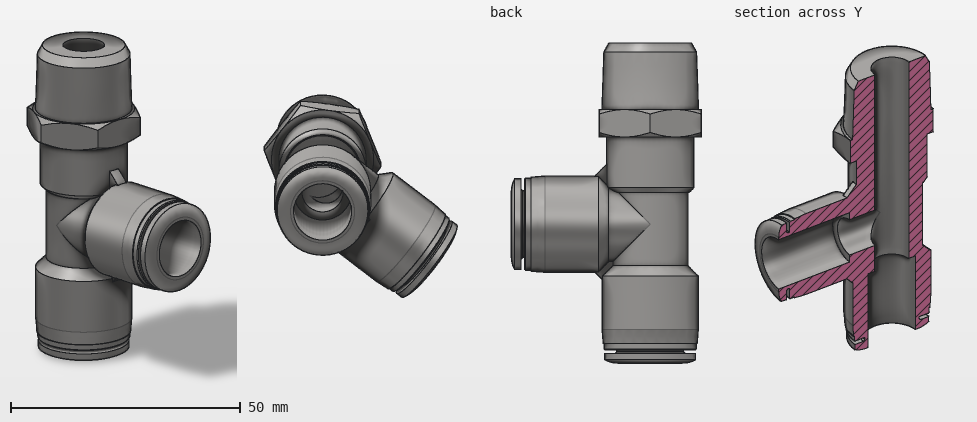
import cadquery as cq
import math

total_height = 69.7
branch_height = 30.25
branch_reach = 30.25

bore_dia = 9.0
tube_dia = 12.6
socket_depth = 18.95

neck_radius = 8.2
sleeve_dia = 21.0
sleeve_radius = sleeve_dia / 2
sleeve_end_radius = 10.25
sleeve_lip_radius = 10.05
groove_dia = 14.6
groove_radius = groove_dia / 2
groove_flare = 0.35
lip_chamfer = 0.2
collet_radius = 9.9
collet_face_radius = 7.0
collet_dome = 0.8
collet_dome_mid_radius = 8.8
collet_dome_mid = 0.3
collet_back = 2.15
sleeve_end = 2.9
lip_start = 4.3
taper_start = 7.3
shoulder_start = 18.95
shoulder_end = shoulder_start + sleeve_radius - neck_radius

collar_dia = 19.0
collar_radius = collar_dia / 2
collar_bottom = 38.2
collar_chamfer = 1.05
hex_bottom = 49.2
hex_top = 55.2
hex_flats = 22.2
hex_chamfer_angle = 30
thread_base_radius = 10.5
thread_tip_radius = 10.1
thread_face_radius = 9.0
thread_chamfer = 2.0

web_thickness = 2.65
web_half_diagonal = 22.5


def tube_end(length):
    """Socket end on Z: open end at 0, neck reaching up to the given length."""
    return (
        cq.Workplane("XZ")
        .lineTo(collet_face_radius, 0)
        .threePointArc((collet_dome_mid_radius, collet_dome_mid), (collet_radius, collet_dome))
        .lineTo(collet_radius, collet_back)
        .lineTo(groove_radius + groove_flare, collet_back)
        .lineTo(groove_radius, collet_back + groove_flare)
        .lineTo(groove_radius, sleeve_end)
        .lineTo(sleeve_lip_radius - lip_chamfer, sleeve_end)
        .lineTo(sleeve_lip_radius, sleeve_end + lip_chamfer)
        .lineTo(sleeve_lip_radius, lip_start)
        .lineTo(sleeve_end_radius, lip_start)
        .lineTo(sleeve_radius, taper_start)
        .lineTo(sleeve_radius, shoulder_start)
        .lineTo(neck_radius, shoulder_end)
        .lineTo(neck_radius, length)
        .lineTo(0, length)
        .close()
        .revolve(360, (0, 0, 0), (0, 1, 0))
    )


def tube_bore(length):
    """Tube socket followed by the narrower flow passage."""
    socket = cq.Workplane("XY").circle(tube_dia / 2).extrude(socket_depth)
    passage = cq.Workplane("XY").circle(bore_dia / 2).extrude(length)
    return socket.union(passage)


def to_branch(shape):
    """Turn a vertical socket shape so that its open end faces +X."""
    turned = shape.rotate((0, 0, 0), (0, 1, 0), -90)
    return turned.translate((branch_reach, 0, branch_height))


def branch_mitre_limit():
    """Wedge holding the branch inside its 45 degree mitre with the run."""
    return (
        cq.Workplane("XZ", origin=(0, 0, branch_height))
        .lineTo(branch_reach, branch_reach)
        .lineTo(branch_reach, -branch_reach)
        .close()
        .extrude(sleeve_radius * 2, both=True)
    )


def threaded_end():
    """Collar and tapered thread body, plain outside."""
    return (
        cq.Workplane("XZ")
        .moveTo(0, collar_bottom - collar_chamfer)
        .lineTo(collar_radius - collar_chamfer, collar_bottom - collar_chamfer)
        .lineTo(collar_radius, collar_bottom)
        .lineTo(collar_radius, hex_top)
        .lineTo(thread_base_radius, hex_top)
        .lineTo(thread_tip_radius, total_height - thread_chamfer)
        .lineTo(thread_face_radius, total_height)
        .lineTo(0, total_height)
        .close()
        .revolve(360, (0, 0, 0), (0, 1, 0))
    )


def hexagon():
    """Hexagon with corners on Y, its corners cut by a cone at both ends."""
    corner_radius = hex_flats / 2 / math.cos(math.pi / 6)
    corner_drop = (corner_radius - hex_flats / 2) * math.tan(math.radians(hex_chamfer_angle))
    prism = (
        cq.Workplane("XY", origin=(0, 0, hex_bottom))
        .polygon(6, 2 * corner_radius)
        .extrude(hex_top - hex_bottom)
        .rotate((0, 0, 0), (0, 0, 1), 90)
    )
    chamfer_envelope = (
        cq.Workplane("XZ")
        .moveTo(0, hex_bottom)
        .lineTo(hex_flats / 2, hex_bottom)
        .lineTo(corner_radius, hex_bottom + corner_drop)
        .lineTo(corner_radius, hex_top - corner_drop)
        .lineTo(hex_flats / 2, hex_top)
        .lineTo(0, hex_top)
        .close()
        .revolve(360, (0, 0, 0), (0, 1, 0))
    )
    return prism.intersect(chamfer_envelope)


def web():
    """Triangular half of the diamond web, on the branch side."""
    return (
        cq.Workplane("XZ", origin=(0, 0, branch_height))
        .moveTo(0, web_half_diagonal)
        .lineTo(web_half_diagonal, 0)
        .lineTo(0, -web_half_diagonal)
        .close()
        .extrude(web_thickness / 2, both=True)
    )


run = tube_end(collar_bottom).union(threaded_end()).union(hexagon())
branch = to_branch(tube_end(branch_reach)).intersect(branch_mitre_limit())
body = run.union(branch).union(web())

result = body.cut(tube_bore(total_height)).cut(to_branch(tube_bore(branch_reach)))